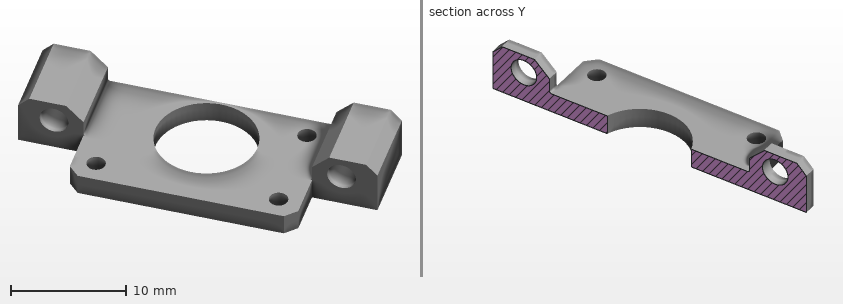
import cadquery as cq

total_width = 32.5
total_depth = 12.7
lug_height = 5.0

plate_width = 20.67
plate_thickness = 1.98
corner_chamfer = 1.0
bore_diameter = 9.2
bore_from_back = 4.85
screw_diameter = 1.7
screw_half_spacing = 8.25
screw_edge_distance = 2.0

lug_length = 7.5
outer_chamfer = 1.0
inner_chamfer_width = 1.55
inner_chamfer_height = 1.5
foot_fillet = 0.2
pin_diameter = 2.6
pin_half_spacing = 13.0
pin_height = 3.1


def make_plate():
    """Flat plate with chamfered front corners, a large bore and three screw holes."""
    plate = (
        cq.Workplane("XY")
        .box(plate_width, total_depth, plate_thickness, centered=(True, False, False))
        .translate((0, -total_depth, 0))
        .edges("|Z and <Y")
        .chamfer(corner_chamfer)
    )
    bore = (
        cq.Workplane("XY")
        .center(0, -bore_from_back)
        .circle(bore_diameter / 2)
        .extrude(plate_thickness)
    )
    back_row = -screw_edge_distance
    front_row = -total_depth + screw_edge_distance
    screw_positions = [
        (-screw_half_spacing, front_row),
        (screw_half_spacing, front_row),
        (screw_half_spacing, back_row),
    ]
    screws = (
        cq.Workplane("XY")
        .pushPoints(screw_positions)
        .circle(screw_diameter / 2)
        .extrude(plate_thickness)
    )
    return plate.cut(bore).cut(screws)


def make_right_lug():
    """Lug with chamfered top, a pin hole along Y and a small fillet onto the plate."""
    outer = total_width / 2
    inner = plate_width / 2
    foot = inner - foot_fillet
    lug = (
        cq.Workplane("XZ")
        .moveTo(foot, 0)
        .lineTo(outer, 0)
        .lineTo(outer, lug_height - outer_chamfer)
        .lineTo(outer - outer_chamfer, lug_height)
        .lineTo(inner + inner_chamfer_width, lug_height)
        .lineTo(inner, lug_height - inner_chamfer_height)
        .lineTo(inner, plate_thickness + foot_fillet)
        .radiusArc((foot, plate_thickness), foot_fillet)
        .close()
        .extrude(lug_length)
    )
    pin_hole = (
        cq.Workplane("XZ")
        .center(pin_half_spacing, pin_height)
        .circle(pin_diameter / 2)
        .extrude(lug_length)
    )
    return lug.cut(pin_hole)


right_lug = make_right_lug()
left_lug = right_lug.mirror("YZ")
result = make_plate().union(right_lug).union(left_lug)